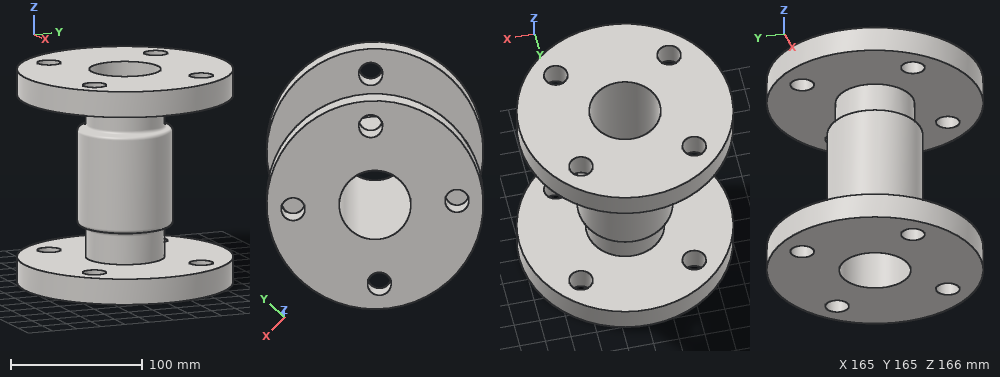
import cadquery as cq

overall_length = 166.0

flange_diameter = 165.0
flange_thickness = 20.0
bolt_circle_diameter = 125.0
bolt_hole_diameter = 18.0
bolt_hole_count = 4
first_bolt_angle = 45.0

pipe_diameter = 60.3
pipe_wall = 2.9
bore_diameter = pipe_diameter - 2 * pipe_wall

sleeve_diameter = 73.0
sleeve_straight_length = 70.0

blend_radius = 3.0

half_length = overall_length / 2
flange_inner_z = half_length - flange_thickness


def outer_body():
    """Revolve the outer outline of flanges, pipe and sleeve into a solid."""
    flange_radius = flange_diameter / 2
    pipe_radius = pipe_diameter / 2
    sleeve_radius = sleeve_diameter / 2
    fillet_outer_radius = pipe_radius + blend_radius
    rim_inner_radius = sleeve_radius - blend_radius
    sleeve_edge_z = sleeve_straight_length / 2
    shoulder_z = sleeve_edge_z + blend_radius
    fillet_end_z = shoulder_z + blend_radius

    outline = (
        cq.Workplane("XZ")
        .moveTo(0, -half_length)
        .lineTo(flange_radius, -half_length)
        .lineTo(flange_radius, -flange_inner_z)
        .lineTo(pipe_radius, -flange_inner_z)
        .lineTo(pipe_radius, -fillet_end_z)
        .radiusArc((fillet_outer_radius, -shoulder_z), blend_radius)
        .lineTo(rim_inner_radius, -shoulder_z)
        .radiusArc((sleeve_radius, -sleeve_edge_z), -blend_radius)
        .lineTo(sleeve_radius, sleeve_edge_z)
        .radiusArc((rim_inner_radius, shoulder_z), -blend_radius)
        .lineTo(fillet_outer_radius, shoulder_z)
        .radiusArc((pipe_radius, fillet_end_z), blend_radius)
        .lineTo(pipe_radius, flange_inner_z)
        .lineTo(flange_radius, flange_inner_z)
        .lineTo(flange_radius, half_length)
        .lineTo(0, half_length)
        .close()
    )
    return outline.revolve(360, (0, 0, 0), (0, 1, 0))


def bore():
    """Straight passage through the whole length."""
    return (
        cq.Workplane("XY")
        .workplane(offset=-half_length)
        .circle(bore_diameter / 2)
        .extrude(overall_length)
    )


def bolt_holes():
    """Bolt holes, aligned through both flanges and clear of the sleeve."""
    return (
        cq.Workplane("XY")
        .workplane(offset=-half_length)
        .polarArray(bolt_circle_diameter / 2, first_bolt_angle, 360, bolt_hole_count)
        .circle(bolt_hole_diameter / 2)
        .extrude(overall_length)
    )


result = outer_body().cut(bore()).cut(bolt_holes())